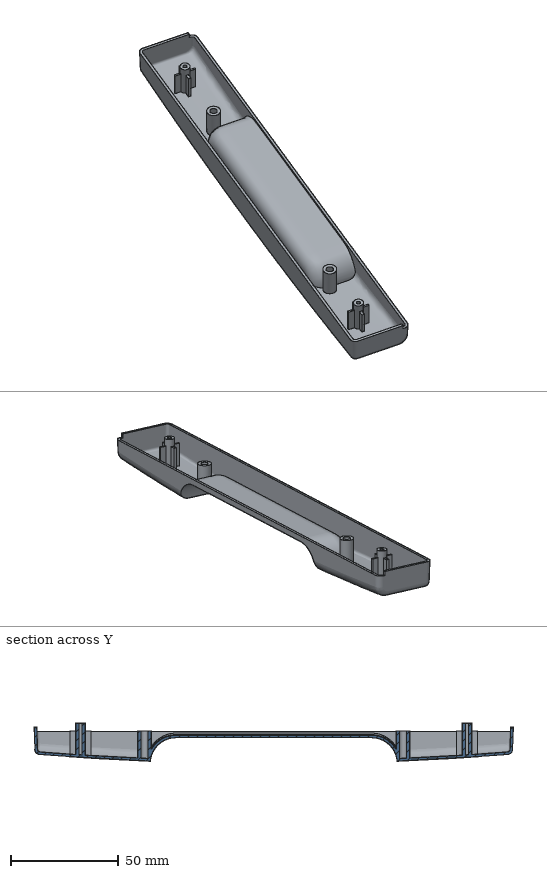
import cadquery as cq

length = 223.0
width = 29.9
end_depth = 12.7
middle_depth = 17.2
wall = 1.3
draft_angle = 1.5
edge_radius = 2.7
back_edge_radius = 5.1

back_rim_drop = 2.0
back_rim_width = 3.5

hump_length = 117.7
hump_front = -7.5
hump_top = -3.5
hump_root_radius = 1.1
hump_end_radius = 13.4
hump_front_radius = 7.4

post_row = -1.1
post_top = -1.8
screw_tube_spacing = 120.5
screw_tube_diameter = 6.5
screw_tube_bore = 3.3
pin_spacing = 179.7
pin_top = 1.8
pin_diameter = 4.7
pin_bore = 1.8
pin_rib_span_x = 9.8
pin_rib_span_y = 10.7
pin_rib_thickness_x = 1.3
pin_rib_thickness_y = 1.0


def tray(inset):
    """Drafted tray body with an arched bottom, offset inwards from the outer skin."""
    block = (
        cq.Workplane("XY")
        .rect(length - 2 * inset, width - 2 * inset)
        .extrude(-middle_depth, taper=draft_angle)
    )
    arch = (
        cq.Workplane("XZ")
        .moveTo(-length / 2, 0)
        .lineTo(length / 2, 0)
        .lineTo(length / 2, inset - end_depth)
        .threePointArc((0, inset - middle_depth), (-length / 2, inset - end_depth))
        .close()
        .extrude(width / 2, both=True)
    )
    body = block.intersect(arch)
    body = body.faces("<Z").edges(">Y").fillet(back_edge_radius - inset)
    return body.edges("not >Z").fillet(edge_radius - inset)


def hump(inset):
    """Rounded block of the finger recess, open-ended towards the back and the bottom."""
    front = hump_front + inset
    top = hump_top - inset
    block = (
        cq.Workplane("XY")
        .box(hump_length - 2 * inset, width, 2 * middle_depth, centered=(True, False, False))
        .translate((0, front, top - 2 * middle_depth))
    )
    block = block.faces(">Z").edges("|Y").fillet(hump_end_radius - inset)
    return block.faces(">Z").edges("<Y").fillet(hump_front_radius - inset)


def blended_hump():
    """Solid hump joined to a strip of the back wall by a concave fillet."""
    inner_back = width / 2 - wall
    strip_length = hump_length + 4 * hump_root_radius
    strip_height = 2 * middle_depth
    strip = (
        cq.Workplane("XY")
        .box(strip_length, wall, strip_height, centered=(True, False, False))
        .translate((0, inner_back, -back_rim_drop - strip_height))
    )
    ridge = cq.selectors.NearestToPointSelector((0, inner_back, hump_top))
    inside_wall = cq.Workplane("XY").box(length, 2 * inner_back, 4 * middle_depth)
    joined = hump(0).intersect(inside_wall).union(strip)
    return joined.edges(ridge).fillet(hump_root_radius)


def column(x, diameter, top):
    """Upright cylinder in the post row, reaching down past the floor."""
    return (
        cq.Workplane("XY", origin=(x, post_row, top))
        .circle(diameter / 2)
        .extrude(-top - middle_depth)
    )


def rib(x, span_x, span_y):
    """Upright rectangular rib centred on a locating pin."""
    height = post_top + middle_depth
    return (
        cq.Workplane("XY")
        .box(span_x, span_y, height, centered=(True, True, False))
        .translate((x, post_row, -middle_depth))
    )


def locating_pin(x):
    """Round pin standing above the rim, stiffened by a cross of two ribs."""
    shank = column(x, pin_diameter, pin_top)
    long_rib = rib(x, pin_rib_span_x, pin_rib_thickness_x)
    cross_rib = rib(x, pin_rib_thickness_y, pin_rib_span_y)
    return shank.union(long_rib).union(cross_rib)


outer = tray(0)
cavity = tray(wall)
rim_step = (
    cq.Workplane("XY")
    .box(length, back_rim_width, back_rim_drop)
    .translate((0, (width - back_rim_width) / 2, -back_rim_drop / 2))
)
result = outer.cut(cavity).cut(rim_step)
result = result.union(blended_hump().intersect(outer))

headroom = cq.Workplane("XY").box(length, width, 2 * pin_top, centered=(True, True, False))
above_skin = outer.union(headroom)
above_floor = cavity.union(headroom)

tube_places = [side * screw_tube_spacing / 2 for side in (-1, 1)]
pin_places = [side * pin_spacing / 2 for side in (-1, 1)]
for x in tube_places:
    result = result.union(column(x, screw_tube_diameter, post_top).intersect(above_skin))
for x in pin_places:
    result = result.union(locating_pin(x).intersect(above_skin))

result = result.cut(hump(wall))

for x in tube_places:
    result = result.cut(column(x, screw_tube_bore, post_top).intersect(above_floor))
for x in pin_places:
    result = result.cut(column(x, pin_bore, pin_top).intersect(above_floor))